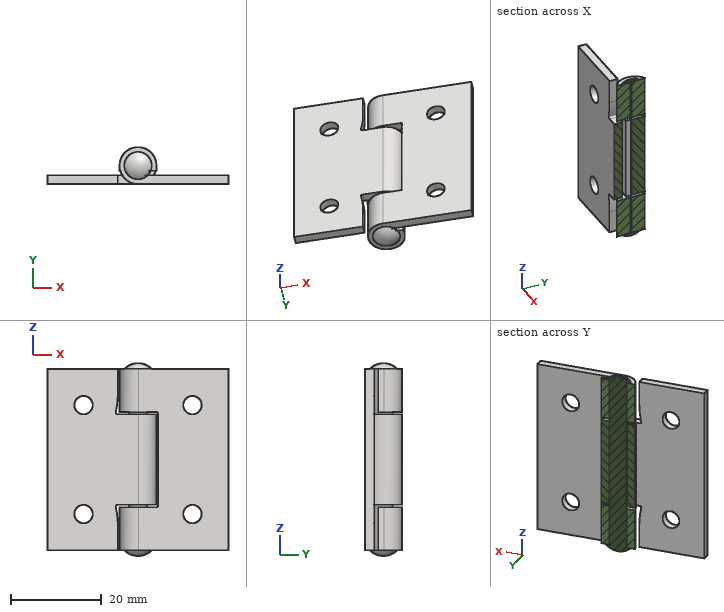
import cadquery as cq
import math

pin_length = 42.6
leaf_size = 40.0
half_leaf = leaf_size / 2

thickness = 2.0
barrel_radius = 4.1
bore_radius = barrel_radius - thickness
curl_tail = 1.2

middle_knuckle_half = 10.0
slot_half = 10.5
slot_edge = 4.4
slot_corner_radius = 0.3
notch_edge = 4.45
relief_depth = 0.45
relief_start = 14.5
notch_corner_radius = 0.4

hole_diameter = 4.0
hole_offset = 12.0

head_radius = 3.02
head_height = (pin_length - leaf_size) / 2


def rolled_sheet():
    """Full-height leaf on the +X side, its edge rolled around the axis."""
    outer_mid = -barrel_radius * math.sqrt(0.5)
    inner_mid = -bore_radius * math.sqrt(0.5)
    return (
        cq.Workplane("XY", origin=(0, 0, -half_leaf))
        .moveTo(half_leaf, -barrel_radius)
        .lineTo(0, -barrel_radius)
        .threePointArc((outer_mid, -outer_mid), (barrel_radius, 0))
        .lineTo(barrel_radius, -curl_tail)
        .lineTo(bore_radius, -curl_tail)
        .lineTo(bore_radius, 0)
        .threePointArc((inner_mid, -inner_mid), (0, -bore_radius))
        .lineTo(half_leaf, -bore_radius)
        .close()
        .extrude(leaf_size)
    )


def screw_holes():
    """Cutters for the two screw holes of the +X leaf."""
    return (
        cq.Workplane("XZ")
        .pushPoints([(hole_offset, -hole_offset), (hole_offset, hole_offset)])
        .circle(hole_diameter / 2)
        .extrude(barrel_radius, both=True)
    )


def middle_slot():
    """Cutter that leaves the two outer knuckles of a leaf."""
    return (
        cq.Workplane("XY")
        .box(barrel_radius + slot_edge, 2 * barrel_radius, 2 * slot_half)
        .translate(((slot_edge - barrel_radius) / 2, 0, 0))
        .edges("|Y and >X")
        .fillet(slot_corner_radius)
    )


def end_notch():
    """Cutter for the upper notch that leaves the middle knuckle of a leaf."""
    deep_edge = notch_edge + relief_depth
    corner_top = middle_knuckle_half + notch_corner_radius
    corner_inset = notch_corner_radius * (1 - math.sqrt(0.5))
    return (
        cq.Workplane("XZ")
        .moveTo(-barrel_radius, middle_knuckle_half)
        .lineTo(-barrel_radius, half_leaf)
        .lineTo(notch_edge, half_leaf)
        .lineTo(notch_edge, relief_start)
        .tangentArcPoint((deep_edge, corner_top), relative=False)
        .threePointArc(
            (deep_edge - corner_inset, middle_knuckle_half + corner_inset),
            (deep_edge - notch_corner_radius, middle_knuckle_half),
        )
        .close()
        .extrude(barrel_radius, both=True)
    )


def make_outer_knuckle_leaf():
    return rolled_sheet().cut(screw_holes()).cut(middle_slot())


def make_middle_knuckle_leaf():
    """Leaf shaped on the +X side, then mirrored to the -X side."""
    upper_notch = end_notch()
    lower_notch = upper_notch.mirror("XY")
    leaf = rolled_sheet().cut(screw_holes()).cut(upper_notch).cut(lower_notch)
    return leaf.mirror("YZ")


def make_pin():
    """Revolved shaft with a domed head at each end."""
    dome_radius = (head_radius**2 + head_height**2) / (2 * head_height)
    dome_center = pin_length / 2 - dome_radius
    half_angle = math.asin(head_radius / dome_radius) / 2
    dome_x = dome_radius * math.sin(half_angle)
    dome_z = dome_center + dome_radius * math.cos(half_angle)
    return (
        cq.Workplane("XZ")
        .moveTo(0, -pin_length / 2)
        .threePointArc((dome_x, -dome_z), (head_radius, -half_leaf))
        .lineTo(bore_radius, -half_leaf)
        .lineTo(bore_radius, half_leaf)
        .lineTo(head_radius, half_leaf)
        .threePointArc((dome_x, dome_z), (0, pin_length / 2))
        .close()
        .revolve(360, (0, 0, 0), (0, 1, 0))
    )


outer_knuckle_leaf = make_outer_knuckle_leaf()
middle_knuckle_leaf = make_middle_knuckle_leaf()
pin = make_pin()

result = cq.Compound.makeCompound([
    outer_knuckle_leaf.val(),
    middle_knuckle_leaf.val(),
    pin.val(),
])